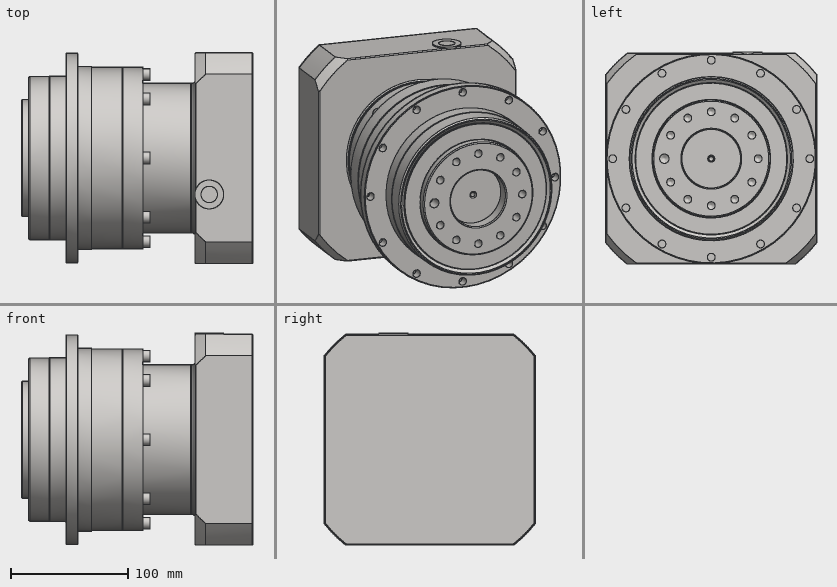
import cadquery as cq
import math

HUB_LENGTH = 6.0
PILOT_STEP_X = 23.8
FLANGE_FRONT_X = 38.0
FLANGE_THICKNESS = 10.5
COLLAR_END_X = 60.0
RING_JOINT_X = 86.0
BODY_END_X = 103.8
BLOCK_FRONT_X = 148.0
TOTAL_LENGTH = 197.8

HUB_DIAMETER = 100.0
PILOT_DIAMETER = 139.5
PILOT_REAR_DIAMETER = 140.0
FLANGE_DIAMETER = 179.0
COLLAR_DIAMETER = 156.3
BODY_DIAMETER = 155.0
NECK_DIAMETER = 128.0
NECK_FLARE_DIAMETER = 130.0

HUB_CHAMFER = 1.0
PILOT_BEVEL_LENGTH = 1.5
PILOT_BEVEL_DIAMETER = 137.2
PILOT_LEAD_IN_LENGTH = 0.7
FLANGE_CHAMFER = 0.7

JOINT_GROOVE_WIDTH = 0.6
JOINT_GROOVE_DEPTH = 0.5
NECK_GROOVE_X = 144.2
NECK_GROOVE_WIDTH = 0.8
NECK_GROOVE_DEPTH = 0.4
NECK_FLARE_LENGTH = 1.5

RECESS_MOUTH_DIAMETER = 135.2
RECESS_FLOOR_DIAMETER = 130.0
RECESS_DEPTH = 2.0
COVER_OUTER_DIAMETER = 128.8
COVER_INNER_DIAMETER = 101.2
COVER_SETBACK = 0.5

BORE_DIAMETER = 50.0
BORE_DEPTH = 12.6
BORE_CHAMFER = 1.0
CENTER_HOLE_DIAMETER = 4.0
CENTER_SINK_DIAMETER = 6.0
CENTER_SINK_DEPTH = 1.0
CENTER_HOLE_DEPTH = 12.0

HUB_HOLE_COUNT = 12
HUB_HOLE_CIRCLE = 80.0
HUB_HOLE_DIAMETER = 6.65
HUB_HOLE_DEPTH = 15.0
DOWEL_DIAMETER = 8.0
DOWEL_INDEX = 0
DRILL_POINT_ANGLE = 118.0

FLANGE_HOLE_COUNT = 12
FLANGE_HOLE_CIRCLE = 168.0
FLANGE_HOLE_DIAMETER = 6.6

SCREW_COUNT = 8
SCREW_CIRCLE = 142.5
SCREW_HEAD_DIAMETER = 10.0
SCREW_HEAD_HEIGHT = 6.0

BLOCK_SIZE = 180.0
BLOCK_CORNER_DIAMETER = 230.0
BLOCK_CONE_LENGTH = 9.3
BLOCK_CONE_ANGLE = 30.0
BLOCK_EDGE_CHAMFER = 1.0

PLUG_DIAMETER = 24.6
PLUG_HEIGHT = 1.0
PLUG_SEAT_DEPTH = 5.0
PLUG_X = BLOCK_FRONT_X + PLUG_DIAMETER / 2
PLUG_Y = -31.0
PLUG_RECESS_DIAMETER = 14.0
PLUG_RECESS_DEPTH = 0.2


def disc(x_start, x_end, diameter):
    """Cylinder on the X axis between two stations."""
    return cq.Workplane("YZ", origin=(x_start, 0, 0)).circle(diameter / 2).extrude(x_end - x_start)


def cone(x_start, x_end, start_diameter, end_diameter):
    """Truncated cone on the X axis between two stations."""
    solid = cq.Solid.makeCone(
        start_diameter / 2,
        end_diameter / 2,
        x_end - x_start,
        cq.Vector(x_start, 0, 0),
        cq.Vector(1, 0, 0),
    )
    return cq.Workplane(obj=solid)


def ring_groove(x_start, width, diameter, depth):
    """Cutter for a square groove around a cylinder."""
    return disc(x_start, x_start + width, diameter).cut(
        disc(x_start, x_start + width, diameter - 2 * depth)
    )


def circle_points(count, circle_diameter):
    """(Y, Z) points equally spaced on a bolt circle, the first on +Y."""
    angles = [2 * math.pi * i / count for i in range(count)]
    radius = circle_diameter / 2
    return [(radius * math.cos(a), radius * math.sin(a)) for a in angles]


def make_hub():
    return disc(0, HUB_LENGTH + RECESS_DEPTH, HUB_DIAMETER).faces("<X").chamfer(HUB_CHAMFER)


def make_pilot():
    bevel_end_x = HUB_LENGTH + PILOT_BEVEL_LENGTH
    lead_in_end_x = PILOT_STEP_X + PILOT_LEAD_IN_LENGTH
    bevel = cone(HUB_LENGTH, bevel_end_x, PILOT_BEVEL_DIAMETER, PILOT_DIAMETER)
    front = disc(bevel_end_x, PILOT_STEP_X, PILOT_DIAMETER)
    lead_in = cone(PILOT_STEP_X, lead_in_end_x, PILOT_DIAMETER, PILOT_REAR_DIAMETER)
    rear = disc(lead_in_end_x, FLANGE_FRONT_X, PILOT_REAR_DIAMETER)
    recess_end_x = HUB_LENGTH + RECESS_DEPTH
    recess = cone(HUB_LENGTH, recess_end_x, RECESS_MOUTH_DIAMETER, RECESS_FLOOR_DIAMETER)
    return bevel.union(front).union(lead_in).union(rear).cut(recess)


def make_cover_ring():
    start_x = HUB_LENGTH + COVER_SETBACK
    end_x = HUB_LENGTH + RECESS_DEPTH
    return disc(start_x, end_x, COVER_OUTER_DIAMETER).cut(disc(start_x, end_x, COVER_INNER_DIAMETER))


def make_flange():
    flange_end_x = FLANGE_FRONT_X + FLANGE_THICKNESS
    flange = disc(FLANGE_FRONT_X, flange_end_x, FLANGE_DIAMETER).edges().chamfer(FLANGE_CHAMFER)
    holes = (
        cq.Workplane("YZ", origin=(FLANGE_FRONT_X, 0, 0))
        .pushPoints(circle_points(FLANGE_HOLE_COUNT, FLANGE_HOLE_CIRCLE))
        .circle(FLANGE_HOLE_DIAMETER / 2)
        .extrude(FLANGE_THICKNESS)
    )
    return flange.cut(holes)


def make_body():
    collar = disc(FLANGE_FRONT_X + FLANGE_THICKNESS, COLLAR_END_X, COLLAR_DIAMETER)
    body = disc(COLLAR_END_X, BODY_END_X, BODY_DIAMETER)
    body = body.cut(ring_groove(RING_JOINT_X, JOINT_GROOVE_WIDTH, BODY_DIAMETER, JOINT_GROOVE_DEPTH))
    flare_start_x = BLOCK_FRONT_X - NECK_FLARE_LENGTH
    flare = cone(flare_start_x, BLOCK_FRONT_X, NECK_DIAMETER, NECK_FLARE_DIAMETER)
    neck = disc(BODY_END_X, BLOCK_FRONT_X, NECK_DIAMETER)
    neck = neck.cut(ring_groove(NECK_GROOVE_X, NECK_GROOVE_WIDTH, NECK_DIAMETER, NECK_GROOVE_DEPTH))
    return collar.union(body).union(neck).union(flare)


def make_screw_heads():
    return (
        cq.Workplane("YZ", origin=(BODY_END_X, 0, 0))
        .pushPoints(circle_points(SCREW_COUNT, SCREW_CIRCLE))
        .circle(SCREW_HEAD_DIAMETER / 2)
        .extrude(SCREW_HEAD_HEIGHT)
    )


def make_block():
    block = (
        cq.Workplane("YZ", origin=(BLOCK_FRONT_X, 0, 0))
        .rect(BLOCK_SIZE, BLOCK_SIZE)
        .extrude(TOTAL_LENGTH - BLOCK_FRONT_X)
        .faces("<X")
        .chamfer(BLOCK_EDGE_CHAMFER)
    )
    cone_end_x = BLOCK_FRONT_X + BLOCK_CONE_LENGTH
    cone_drop = BLOCK_CONE_LENGTH * math.tan(math.radians(BLOCK_CONE_ANGLE))
    face_diameter = BLOCK_CORNER_DIAMETER - 2 * cone_drop
    envelope = cone(BLOCK_FRONT_X, cone_end_x, face_diameter, BLOCK_CORNER_DIAMETER)
    envelope = envelope.union(disc(cone_end_x, TOTAL_LENGTH, BLOCK_CORNER_DIAMETER))
    return block.intersect(envelope).faces(">X").chamfer(BLOCK_EDGE_CHAMFER)


def make_plug():
    top_z = BLOCK_SIZE / 2 + PLUG_HEIGHT
    plug = (
        cq.Workplane("XY", origin=(PLUG_X, PLUG_Y, top_z))
        .circle(PLUG_DIAMETER / 2)
        .extrude(-PLUG_HEIGHT - PLUG_SEAT_DEPTH)
    )
    recess = (
        cq.Workplane("XY", origin=(PLUG_X, PLUG_Y, top_z))
        .circle(PLUG_RECESS_DIAMETER / 2)
        .extrude(-PLUG_RECESS_DEPTH)
    )
    return plug.cut(recess)


def drilled_hole(y, z, diameter, x_start, depth):
    """Cutter for a blind hole along +X with a conical drill point."""
    radius = diameter / 2
    point_length = radius / math.tan(math.radians(DRILL_POINT_ANGLE / 2))
    return (
        cq.Workplane("XY")
        .polyline([(0, 0), (0, radius), (depth, radius), (depth + point_length, 0)])
        .close()
        .revolve(360, (0, 0, 0), (1, 0, 0))
        .translate((x_start, y, z))
    )


def cut_hub_holes(part):
    for index, (y, z) in enumerate(circle_points(HUB_HOLE_COUNT, HUB_HOLE_CIRCLE)):
        diameter = DOWEL_DIAMETER if index == DOWEL_INDEX else HUB_HOLE_DIAMETER
        part = part.cut(drilled_hole(y, z, diameter, 0, HUB_HOLE_DEPTH))
    return part


def cut_bore(part):
    bore = disc(0, BORE_DEPTH, BORE_DIAMETER)
    mouth = cone(0, BORE_CHAMFER, BORE_DIAMETER + 2 * BORE_CHAMFER, BORE_DIAMETER)
    center_hole = drilled_hole(0, 0, CENTER_HOLE_DIAMETER, BORE_DEPTH, CENTER_HOLE_DEPTH)
    sink_end_x = BORE_DEPTH + CENTER_SINK_DEPTH
    center_sink = cone(BORE_DEPTH, sink_end_x, CENTER_SINK_DIAMETER, CENTER_HOLE_DIAMETER)
    return part.cut(bore).cut(mouth).cut(center_hole).cut(center_sink)


def make_part():
    part = make_hub()
    pieces = (
        make_pilot(),
        make_cover_ring(),
        make_flange(),
        make_body(),
        make_screw_heads(),
        make_block(),
        make_plug(),
    )
    for piece in pieces:
        part = part.union(piece)
    return cut_bore(cut_hub_holes(part))


result = make_part()